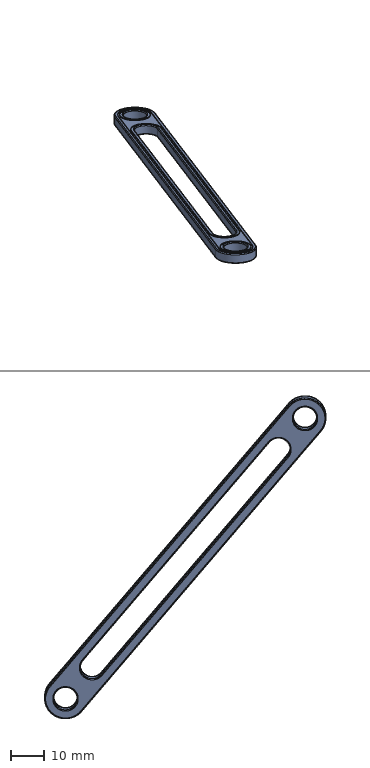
import cadquery as cq

length = 125.0
width = 12.5
thickness = 3.1

hole_diameter = 7.0
hole_spacing = length - width

slot_length = 94.5
slot_width = 7.0

rim_width = 1.1
recess_depth = 0.2

edge_bevel = 0.3


def hole_cylinders(diameter):
    """Full-height cylinders at both end holes."""
    centers = [(-hole_spacing / 2, 0), (hole_spacing / 2, 0)]
    return cq.Workplane("XY").pushPoints(centers).circle(diameter / 2).extrude(thickness)


def round_ended_bar(bar_length, bar_width):
    """Full-height bar with semicircular ends, centred on the origin."""
    return cq.Workplane("XY").slot2D(bar_length, bar_width).extrude(thickness)


def beveled_blank():
    """Bar with its holes and window, beveled along every edge of both faces."""
    blank = round_ended_bar(length, width)
    blank = blank.cut(hole_cylinders(hole_diameter))
    blank = blank.cut(round_ended_bar(slot_length, slot_width))
    return blank.faces("<Z or >Z").edges().chamfer(edge_bevel)


def top_recess():
    """Recess that leaves a rim along the outside, around each hole and around the window."""
    both_rims = 2 * rim_width
    recess = round_ended_bar(length - both_rims, width - both_rims)
    recess = recess.cut(hole_cylinders(hole_diameter + both_rims))
    recess = recess.cut(round_ended_bar(slot_length + both_rims, slot_width + both_rims))
    return recess.translate((0, 0, thickness - recess_depth))


result = beveled_blank().cut(top_recess())